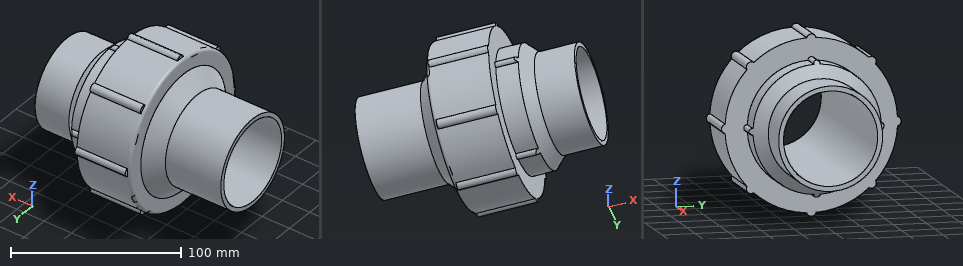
import cadquery as cq

length = 136.0
bore_radius = 57.0 / 2
pipe_radius = 63.0 / 2

left_cone_start = 40.5
nut_start = 50.9
nut_end = 89.8
right_cone_end = 111.1

outer_radius = 109.0 / 2
nut_radius = 52.4
nut_rounding = 2.0
nut_rib_radius = 3.0
nut_rib_count = 8
nut_rib_start = nut_start + nut_rounding

collar_radius = 38.9
collar_rib_radius = 2.0
collar_rib_count = 4

left_cone_radius = pipe_radius + nut_start - left_cone_start
right_cone_base_radius = pipe_radius + right_cone_end - nut_end


def cylinder(start, end, radius):
    """Solid cylinder on the X axis."""
    return cq.Workplane("YZ", origin=(start, 0, 0)).circle(radius).extrude(end - start)


def ribs(start, end, tip_radius, rib_radius, count):
    """Round ribs parallel to X, evenly spaced around the axis."""
    return (
        cq.Workplane("YZ", origin=(start, 0, 0))
        .polarArray(tip_radius - rib_radius, 0, 360, count)
        .circle(rib_radius)
        .extrude(end - start)
    )


def cone(start, end, start_radius, end_radius):
    """Solid truncated cone on the X axis."""
    profile = [(start, 0), (start, start_radius), (end, end_radius), (end, 0)]
    return cq.Workplane("XY").polyline(profile).close().revolve(360, (0, 0, 0), (1, 0, 0))


def make_nut():
    nut = cylinder(nut_start, nut_end, nut_radius).faces("<X").edges().fillet(nut_rounding)
    return nut.union(ribs(nut_rib_start, nut_end, outer_radius, nut_rib_radius, nut_rib_count))


def make_collar():
    """Ribbed collar whose ribs and rim are trimmed by the end cone."""
    tip_radius = collar_radius + collar_rib_radius
    collar = cylinder(nut_end, right_cone_end, collar_radius)
    collar = collar.union(ribs(nut_end, right_cone_end, tip_radius, collar_rib_radius, collar_rib_count))
    return collar.intersect(cone(nut_end, right_cone_end, right_cone_base_radius, pipe_radius))


pipe = cylinder(0, length, pipe_radius)
left_cone = cone(left_cone_start, nut_start, pipe_radius, left_cone_radius)
bore = cylinder(0, length, bore_radius)

result = pipe.union(left_cone).union(make_nut()).union(make_collar()).cut(bore)